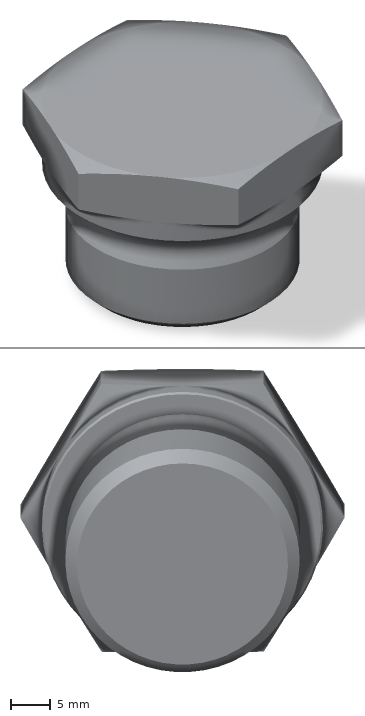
import cadquery as cq
import math

corner_diameter = 41.55
total_height = 26.0
hex_height = 7.0
hex_chamfer_angle = math.radians(15)
flange_height = 3.0
flange_chamfer = 0.25
plug_diameter = 30.0
plug_chamfer = 1.5
throat_diameter = 27.0
throat_height = 12.85
groove_radius = 1.6
groove_wall_angle = math.radians(30)

corner_radius = corner_diameter / 2
flat_radius = corner_radius * math.cos(math.pi / 6)
hex_bottom = total_height - hex_height
flange_bottom = hex_bottom - flange_height
plug_radius = plug_diameter / 2
throat_radius = throat_diameter / 2


def make_hexagon():
    """Hexagon with flats facing X, its corners cut by a cone at both ends."""
    prism = (
        cq.Workplane("XY")
        .workplane(offset=hex_bottom)
        .polygon(6, corner_diameter)
        .extrude(hex_height)
        .rotate((0, 0, 0), (0, 0, 1), 30)
    )
    corner_drop = (corner_radius - flat_radius) * math.tan(hex_chamfer_angle)
    cone_envelope = (
        cq.Workplane("XZ")
        .moveTo(0, hex_bottom)
        .lineTo(flat_radius, hex_bottom)
        .lineTo(corner_radius, hex_bottom + corner_drop)
        .lineTo(corner_radius, total_height - corner_drop)
        .lineTo(flat_radius, total_height)
        .lineTo(0, total_height)
        .close()
        .revolve(360, (0, 0), (0, 1))
    )
    return prism.intersect(cone_envelope)


def make_turned_body():
    """Flange and chamfered plug, joined by a neck with a rounded V groove."""
    arc_half_height = groove_radius * math.sin(groove_wall_angle)
    arc_end_radius = throat_radius + groove_radius * (1 - math.cos(groove_wall_angle))
    arc_bottom = throat_height - arc_half_height
    arc_top = throat_height + arc_half_height
    wall_slope = math.tan(groove_wall_angle)
    plug_top = arc_bottom - (plug_radius - arc_end_radius) / wall_slope
    neck_top_radius = arc_end_radius + (flange_bottom - arc_top) * wall_slope

    return (
        cq.Workplane("XZ")
        .lineTo(plug_radius - plug_chamfer, 0)
        .lineTo(plug_radius, plug_chamfer)
        .lineTo(plug_radius, plug_top)
        .lineTo(arc_end_radius, arc_bottom)
        .threePointArc((throat_radius, throat_height), (arc_end_radius, arc_top))
        .lineTo(neck_top_radius, flange_bottom)
        .lineTo(flat_radius - flange_chamfer, flange_bottom)
        .lineTo(flat_radius, flange_bottom + flange_chamfer)
        .lineTo(flat_radius, hex_bottom)
        .lineTo(0, hex_bottom)
        .close()
        .revolve(360, (0, 0), (0, 1))
    )


result = make_turned_body().union(make_hexagon())